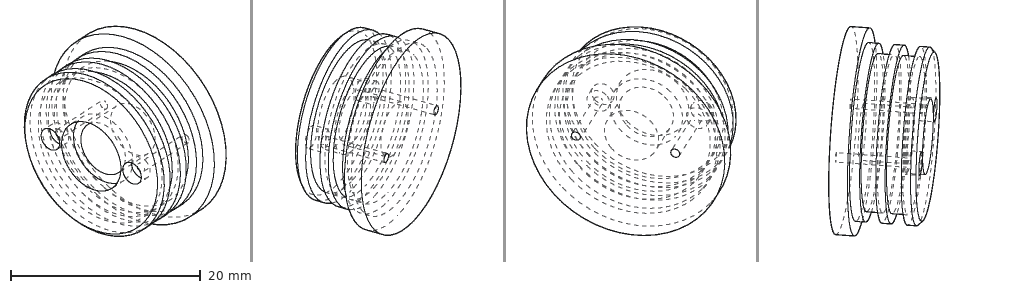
import cadquery as cq

total_length = 9.0
flange_thickness = 2.0
front_land = 1.5
groove_width = 1.72
middle_land = 1.0
front_chamfer = 0.5

flange_diameter = 22
body_diameter = 18.9
groove_diameter = 16.72

bore_diameter = 8.0
bore_depth = 2.0
inner_bore_diameter = 6.0
inner_bore_depth = total_length - flange_thickness

pin_offset = 5.5
pin_hole_diameter = 1.0
pin_counterbore_diameter = 2.5
pin_counterbore_depth = 1.5


def cylinder(diameter, start, length, x=0):
    """Cylinder along +Y whose front end lies at Y = start."""
    axis_start = cq.Vector(x, start, 0)
    return cq.Workplane(cq.Solid.makeCylinder(diameter / 2, length, axis_start, cq.Vector(0, 1, 0)))


def groove(start):
    """Ring to be removed from the body, leaving the groove floor."""
    ring = cylinder(body_diameter, start, groove_width)
    return ring.cut(cylinder(groove_diameter, start, groove_width))


body = cylinder(body_diameter, 0, total_length).faces("<Y").chamfer(front_chamfer)
flange = cylinder(flange_diameter, total_length - flange_thickness, flange_thickness)
result = body.union(flange)

first_groove_start = front_land
second_groove_start = first_groove_start + groove_width + middle_land
for groove_start in (first_groove_start, second_groove_start):
    result = result.cut(groove(groove_start))

result = result.cut(cylinder(bore_diameter, 0, bore_depth))
result = result.cut(cylinder(inner_bore_diameter, 0, inner_bore_depth))

for pin_x in (-pin_offset, pin_offset):
    result = result.cut(cylinder(pin_hole_diameter, 0, total_length, pin_x))
    result = result.cut(cylinder(pin_counterbore_diameter, 0, pin_counterbore_depth, pin_x))